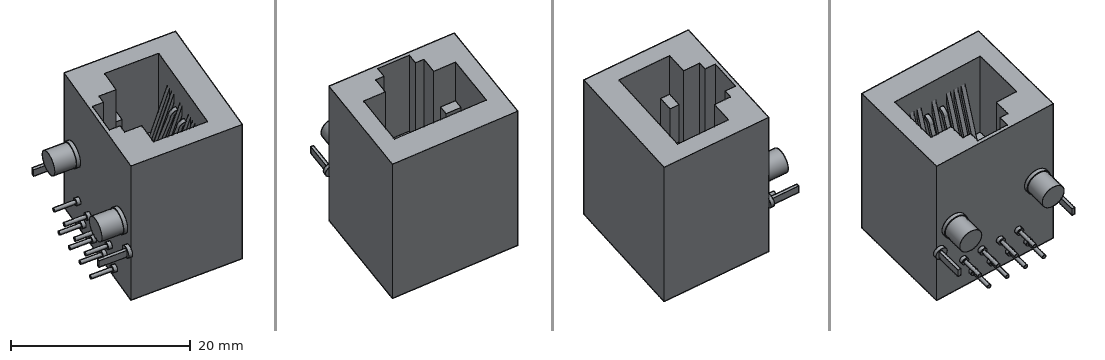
import cadquery as cq
import math


body_width = 16.18
body_depth = 13.97
body_height = 21.59

opening_back_wall = 3.24
opening_width = 11.85
opening_depth_y = 6.78
latch_wide_width = 6.23
latch_wide_depth = 2.15
latch_narrow_width = 4.07
latch_narrow_depth = 1.37
cavity_depth = 12.2

ledge_width = 1.92
ledge_depth = 1.2
ledge_height = 6.0

contact_count = 8
contact_pitch = 1.016
contact_width = 0.55
contact_thickness = 0.45
contact_reach = 2.84
contact_top_drop = 3.2
short_contact_indices = (2, 4)
short_contact_reach = 2.3
short_contact_top_drop = 4.75
short_contact_bend_radius = 0.98
short_contact_slope = 2.6

collar_length = 0.48

peg_spacing = 11.43
peg_diameter = 3.05
peg_collar_diameter = 3.25
peg_length = 3.175

pin_pitch = 2.54
pins_per_row = 4
pin_diameter = 0.5
pin_collar_diameter = 0.92
pin_length = peg_length
lower_row_z = 1.89
upper_row_z = lower_row_z + pin_pitch
row_shift = pin_pitch / 4

tab_thickness = 0.38
tab_height = 1.05
tab_length = 4.0
tab_collar_diameter = 1.56
tab_collar_x = 7.75

peg_rise_above_lower_row = 8.89
tab_drop_below_pegs = 3.05
peg_z = lower_row_z + peg_rise_above_lower_row
tab_z = peg_z - tab_drop_below_pegs

opening_back_y = body_depth - opening_back_wall
opening_front_y = opening_back_y - opening_depth_y
latch_wide_y = opening_front_y - latch_wide_depth
latch_narrow_y = latch_wide_y - latch_narrow_depth
cavity_floor_z = body_height - cavity_depth


def box_between(x_min, x_max, y_min, y_max, z_min, z_max):
    """Axis-aligned box given by its limits."""
    size = (x_max - x_min, y_max - y_min, z_max - z_min)
    return cq.Workplane("XY").box(*size, centered=False).translate((x_min, y_min, z_min))


def centred_block(width, y_min, y_max, z_min, z_max):
    """Box centred on X = 0."""
    return box_between(-width / 2, width / 2, y_min, y_max, z_min, z_max)


def peg_from_face(x, z, diameter, length):
    """Cylinder growing from the mounting face towards -Y."""
    return cq.Workplane("XZ").center(x, z).circle(diameter / 2).extrude(length)


def make_housing():
    housing = centred_block(body_width, 0, body_depth, 0, body_height)
    steps = (
        (opening_width, opening_front_y),
        (latch_wide_width, latch_wide_y),
        (latch_narrow_width, latch_narrow_y),
    )
    for width, front_y in steps:
        housing = housing.cut(
            centred_block(width, front_y, opening_back_y, cavity_floor_z, body_height)
        )
    return housing


def make_ledge(side):
    outer_x = side * opening_width / 2
    inner_x = outer_x - side * ledge_width
    return box_between(
        min(outer_x, inner_x),
        max(outer_x, inner_x),
        opening_front_y,
        opening_front_y + ledge_depth,
        cavity_floor_z,
        cavity_floor_z + ledge_height,
    )


def extrude_contact(profile, x):
    """Give a YZ contact profile its width, centred on x."""
    return profile.extrude(contact_width / 2, both=True).translate((x, 0, 0))


def make_long_contact(x):
    """Straight wire leaning from the back wall down to the cavity floor."""
    top_z = body_height - contact_top_drop
    foot_y = opening_back_y - contact_reach
    lean = math.atan2(top_z - cavity_floor_z, contact_reach)
    profile = (
        cq.Workplane("YZ")
        .moveTo(opening_back_y, top_z)
        .lineTo(foot_y, cavity_floor_z)
        .lineTo(foot_y + contact_thickness / math.sin(lean), cavity_floor_z)
        .lineTo(opening_back_y, top_z - contact_thickness / math.cos(lean))
        .close()
    )
    return extrude_contact(profile, x)


def make_short_contact(x):
    """Wire leaving the back wall level, bending down and ending free of the floor."""
    top_z = body_height - short_contact_top_drop
    outer_radius = short_contact_bend_radius
    inner_radius = outer_radius - contact_thickness
    bend_z = top_z - outer_radius
    outer_y = opening_back_y - outer_radius
    inner_y = opening_back_y - inner_radius
    tip_y = opening_back_y - short_contact_reach
    tip_z = bend_z - short_contact_slope * (outer_y - tip_y)
    diagonal = math.sqrt(0.5)
    profile = (
        cq.Workplane("YZ")
        .moveTo(opening_back_y, top_z)
        .threePointArc(
            (opening_back_y - outer_radius * diagonal, bend_z + outer_radius * diagonal),
            (outer_y, bend_z),
        )
        .lineTo(tip_y, tip_z)
        .lineTo(tip_y + contact_thickness, tip_z)
        .lineTo(inner_y, bend_z)
        .threePointArc(
            (opening_back_y - inner_radius * diagonal, bend_z + inner_radius * diagonal),
            (opening_back_y, bend_z + inner_radius),
        )
        .close()
    )
    return extrude_contact(profile, x)


def make_contacts():
    contacts = []
    for index in range(contact_count):
        x = (index - (contact_count - 1) / 2) * contact_pitch
        if index in short_contact_indices:
            contacts.append(make_short_contact(x))
        else:
            contacts.append(make_long_contact(x))
    return contacts


def make_locating_peg(side):
    x = side * peg_spacing / 2
    collar = peg_from_face(x, peg_z, peg_collar_diameter, collar_length)
    return collar.union(peg_from_face(x, peg_z, peg_diameter, peg_length))


def make_shield_tab(side):
    outer_x = side * body_width / 2
    inner_x = outer_x - side * tab_thickness
    collar = peg_from_face(side * tab_collar_x, tab_z, tab_collar_diameter, collar_length)
    blade = box_between(
        min(outer_x, inner_x),
        max(outer_x, inner_x),
        -tab_length,
        0,
        tab_z - tab_height / 2,
        tab_z + tab_height / 2,
    )
    return collar.union(blade)


def make_pins():
    pins = []
    for row_z, shift in ((upper_row_z, -row_shift), (lower_row_z, row_shift)):
        for index in range(pins_per_row):
            x = (index - (pins_per_row - 1) / 2) * pin_pitch + shift
            pins.append(peg_from_face(x, row_z, pin_collar_diameter, collar_length))
            pins.append(peg_from_face(x, row_z, pin_diameter, pin_length))
    return pins


result = make_housing()
for side in (-1, 1):
    result = result.union(make_ledge(side))
    result = result.union(make_locating_peg(side))
    result = result.union(make_shield_tab(side))
for feature in make_contacts() + make_pins():
    result = result.union(feature)